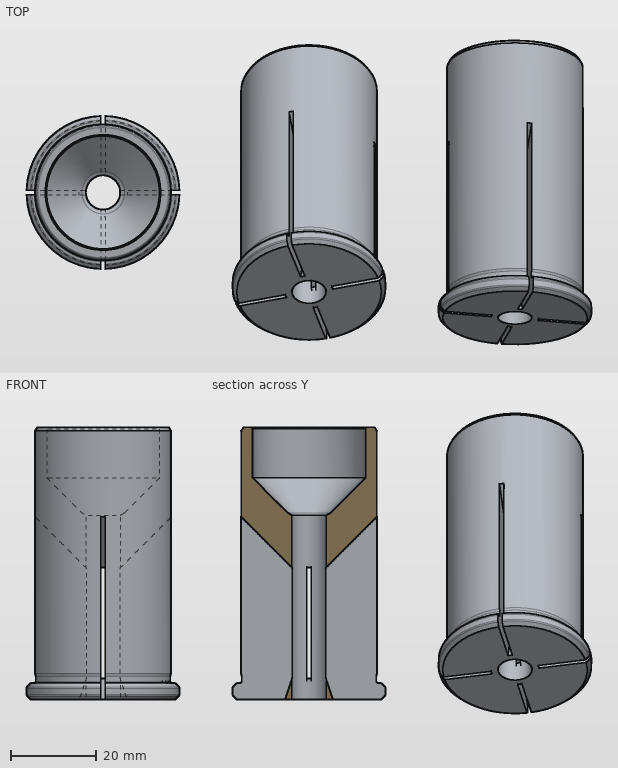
import cadquery as cq
import math

height = 64.0
body_radius = 16.0
top_chamfer_height = 0.9
top_chamfer_angle = math.radians(30)
top_edge_round = 0.3

collar_radius = 18.0
collar_height = 4.0
collar_chamfer = 1.0
collar_edge_round = 0.5

groove_depth = 0.16
groove_top = 6.2
groove_run_out = 0.65
groove_corner_radius = 0.4

socket_radius = 13.25
socket_edge_chamfer = 0.3
socket_depth = 11.85
floor_cone_angle = math.radians(45)
lead_in_radius = 5.0
hole_radius = 4.0
lead_in_angle = math.radians(30)

slit_count = 4
slit_width = 1.0
slit_top = 43.0
slit_inner_bottom = 5.0
slit_inner_top = slit_top - (body_radius - hole_radius)
slit_bottom_run = slit_inner_bottom / 3


def make_outer_body():
    """Join the chamfered, rounded collar to the revolved body with its relief groove."""
    groove_radius = body_radius - groove_depth
    corner_end_radius = groove_radius + groove_corner_radius
    top_radius = body_radius - top_chamfer_height * math.tan(top_chamfer_angle)
    corner_middle = groove_corner_radius * (1 - math.sqrt(0.5))
    collar = (
        cq.Workplane("XY")
        .circle(collar_radius)
        .extrude(collar_height)
        .edges()
        .chamfer(collar_chamfer)
        .edges("not <Z")
        .fillet(collar_edge_round)
    )
    body = (
        cq.Workplane("XZ")
        .lineTo(corner_end_radius, 0)
        .lineTo(corner_end_radius, collar_height)
        .threePointArc(
            (groove_radius + corner_middle, collar_height + corner_middle),
            (groove_radius, collar_height + groove_corner_radius),
        )
        .lineTo(groove_radius, groove_top - groove_run_out)
        .lineTo(body_radius, groove_top)
        .lineTo(body_radius, height - top_chamfer_height)
        .lineTo(top_radius, height)
        .lineTo(0, height)
        .close()
        .revolve(360, (0, 0, 0), (0, 1, 0))
        .faces(">Z")
        .edges()
        .fillet(top_edge_round)
    )
    return collar.union(body)


def make_bore():
    """Revolve the space inside the sleeve."""
    floor_edge = height - socket_depth
    cone_bottom = floor_edge - (socket_radius - lead_in_radius) * math.tan(floor_cone_angle)
    lead_in_depth = (lead_in_radius - hole_radius) * math.tan(lead_in_angle)
    return (
        cq.Workplane("XZ")
        .lineTo(hole_radius, 0)
        .lineTo(hole_radius, cone_bottom - lead_in_depth)
        .lineTo(lead_in_radius, cone_bottom)
        .lineTo(socket_radius, floor_edge)
        .lineTo(socket_radius, height - socket_edge_chamfer)
        .lineTo(socket_radius + socket_edge_chamfer, height)
        .lineTo(0, height)
        .close()
        .revolve(360, (0, 0, 0), (0, 1, 0))
    )


def make_slit():
    """Radial slit along +X that reaches the hole, with both ends sloping."""
    return (
        cq.Workplane("XZ")
        .moveTo(0, slit_inner_bottom)
        .lineTo(hole_radius, slit_inner_bottom)
        .lineTo(hole_radius + slit_bottom_run, 0)
        .lineTo(collar_radius, 0)
        .lineTo(collar_radius, slit_top)
        .lineTo(body_radius, slit_top)
        .lineTo(hole_radius, slit_inner_top)
        .lineTo(0, slit_inner_top)
        .close()
        .extrude(slit_width / 2, both=True)
    )


result = make_outer_body().cut(make_bore())
for index in range(slit_count):
    slit = make_slit().rotate((0, 0, 0), (0, 0, 1), index * 360 / slit_count)
    result = result.cut(slit)